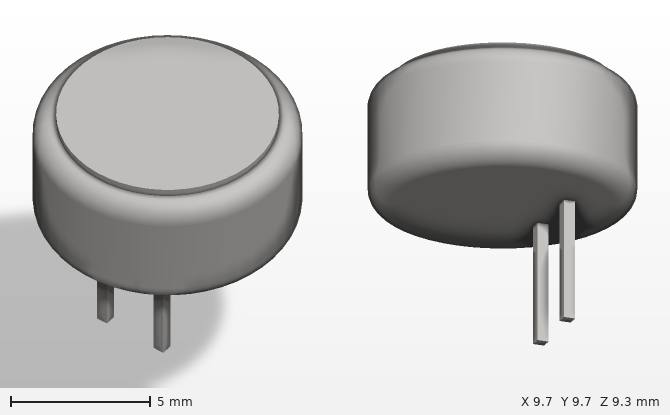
import cadquery as cq

housing_diameter = 9.7
housing_height = 4.5
rim_radius = 0.7

disc_diameter = 8.0
disc_thickness = 0.3

pin_width = 0.44
pin_length = 4.5
pin_spacing = 2.54
pin_row_y = -2.0


def make_housing():
    """Solid can with both circular edges rounded."""
    can = cq.Workplane("XY").circle(housing_diameter / 2).extrude(housing_height)
    return can.edges("%CIRCLE").fillet(rim_radius)


def make_disc():
    """Plain disc resting on the top face."""
    top_plane = cq.Workplane("XY").workplane(offset=housing_height)
    return top_plane.circle(disc_diameter / 2).extrude(disc_thickness)


def make_pin(x):
    """Square pin at the given X, reaching down from the underside."""
    return cq.Workplane("XY").center(x, pin_row_y).rect(pin_width, pin_width).extrude(-pin_length)


housing = make_housing()
disc = make_disc()
pins = []
for side in (-1, 1):
    pins.append(make_pin(side * pin_spacing / 2))

result = cq.Compound.makeCompound([housing.val(), disc.val(), *[pin.val() for pin in pins]])